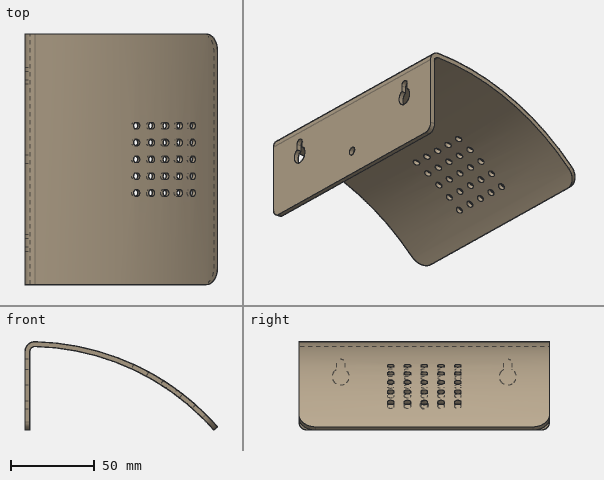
import cadquery as cq
import math

width = 150.0
depth = 115.2
height = 53.0
thickness = 3.0

bend_radius = 6.0
bend_inner_radius = bend_radius - thickness
bend_x = bend_radius
bend_z = height - bend_radius

roof_radius = 150.0
roof_inner_radius = roof_radius - thickness
roof_start = math.radians(1.4)
roof_center_x = bend_x - (roof_radius - bend_radius) * math.sin(roof_start)
roof_center_z = bend_z - (roof_radius - bend_radius) * math.cos(roof_start)
roof_end = math.asin((depth - roof_center_x) / roof_radius)

roof_corner_radius = 10.0
wall_corner_radius = 5.0

keyhole_offset = 50.0
keyhole_z = 32.0
keyhole_diameter = 10.0
keyhole_slot_width = 5.0
keyhole_slot_top = 42.5
screw_hole_diameter = 5.0
screw_hole_z = 15.0

grid_count = 5
grid_pitch = 10.0
grid_hole_diameter = 4.0
grid_middle_angle = math.radians(33.1)


def roof_point(radius, angle):
    return (roof_center_x + radius * math.sin(angle), roof_center_z + radius * math.cos(angle))


def bend_point(radius, angle):
    return (bend_x + radius * math.sin(angle), bend_z + radius * math.cos(angle))


def make_sheet():
    roof_middle = (roof_start + roof_end) / 2
    bend_middle = (roof_start - math.pi / 2) / 2
    return (
        cq.Workplane("XZ")
        .moveTo(0, 0)
        .lineTo(0, bend_z)
        .threePointArc(bend_point(bend_radius, bend_middle), bend_point(bend_radius, roof_start))
        .threePointArc(roof_point(roof_radius, roof_middle), roof_point(roof_radius, roof_end))
        .lineTo(*roof_point(roof_inner_radius, roof_end))
        .threePointArc(
            roof_point(roof_inner_radius, roof_middle), roof_point(roof_inner_radius, roof_start)
        )
        .threePointArc(
            bend_point(bend_inner_radius, bend_middle), bend_point(bend_inner_radius, -math.pi / 2)
        )
        .lineTo(thickness, 0)
        .close()
        .extrude(width / 2, both=True)
    )


def round_corners(sheet):
    sheet = sheet.faces("<Z").edges("|X").fillet(wall_corner_radius)
    roof_end_direction = cq.Vector(math.sin(roof_end), 0, math.cos(roof_end))
    roof_corners = cq.selectors.ParallelDirSelector(roof_end_direction)
    return sheet.edges(roof_corners).fillet(roof_corner_radius)


def wall_cylinder(diameter, y, z):
    return cq.Workplane("YZ").center(y, z).circle(diameter / 2).extrude(thickness)


def make_keyhole(y):
    slot_center_z = keyhole_slot_top - keyhole_slot_width / 2
    slot_length = slot_center_z - keyhole_z
    slot = (
        cq.Workplane("YZ")
        .center(y, keyhole_z + slot_length / 2)
        .rect(keyhole_slot_width, slot_length)
        .extrude(thickness)
    )
    slot_end = wall_cylinder(keyhole_slot_width, y, slot_center_z)
    return wall_cylinder(keyhole_diameter, y, keyhole_z).union(slot).union(slot_end)


def make_roof_hole_row(angle):
    """Holes along Y, drilled square to the roof surface at the given angle."""
    x, z = roof_point(roof_inner_radius - thickness, angle)
    normal = (math.sin(angle), 0, math.cos(angle))
    plane = cq.Plane(origin=(x, 0, z), xDir=(0, 1, 0), normal=normal)
    return (
        cq.Workplane(plane)
        .rarray(grid_pitch, grid_pitch, grid_count, 1)
        .circle(grid_hole_diameter / 2)
        .extrude(3 * thickness)
    )


result = round_corners(make_sheet())

for side in (-1, 1):
    result = result.cut(make_keyhole(side * keyhole_offset))
result = result.cut(wall_cylinder(screw_hole_diameter, 0, screw_hole_z))

for column in range(grid_count):
    steps_from_middle = column - (grid_count - 1) / 2
    column_angle = grid_middle_angle + steps_from_middle * grid_pitch / roof_radius
    result = result.cut(make_roof_hole_row(column_angle))